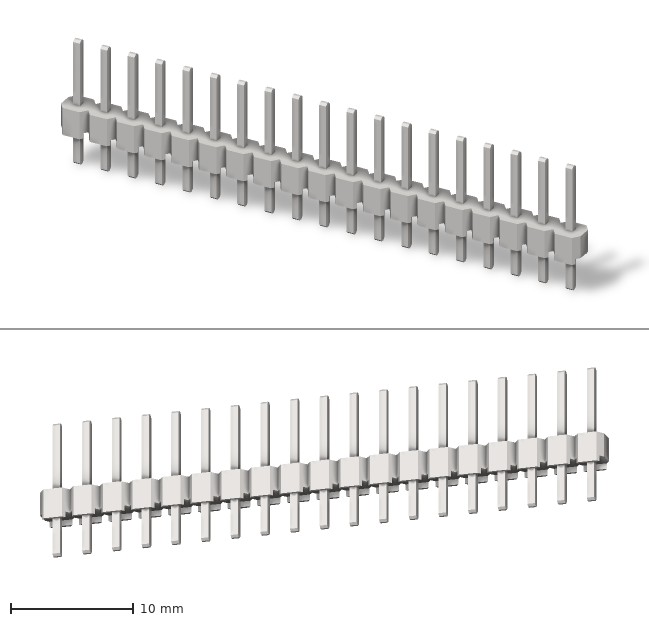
import cadquery as cq

pin_count = 19
row_length = 48.25
pitch = row_length / pin_count

body_depth = 2.5
body_height = 2.5
corner_x = 0.5
corner_y = 0.65
channel_width = 2.0
channel_height = 0.5

pin_length = 11.5
pin_width = pitch / 4
pin_below_body = 3.0
tip_inset = 0.2
tip_height = 0.2

pin_bottom = -pin_length / 2
pin_top = pin_length / 2
body_bottom = pin_bottom + pin_below_body


def position_x(index):
    """X of one pin centre, with the row centred on the origin."""
    return (index - (pin_count - 1) / 2) * pitch


def make_body():
    """Row of eight-sided cells joined at their narrow ends, with a channel along the underside."""
    end_half_depth = body_depth / 2 - corner_y
    half_cell = pitch / 2
    half_flat = half_cell - corner_x

    front_edge = [(-row_length / 2, -end_half_depth)]
    for index in range(pin_count):
        x = position_x(index)
        front_edge.append((x - half_flat, -body_depth / 2))
        front_edge.append((x + half_flat, -body_depth / 2))
        front_edge.append((x + half_cell, -end_half_depth))
    back_edge = [(x, -y) for x, y in reversed(front_edge)]

    body = (
        cq.Workplane("XY", origin=(0, 0, body_bottom))
        .polyline(front_edge + back_edge)
        .close()
        .extrude(body_height)
    )
    channel = cq.Workplane("XY", origin=(0, 0, body_bottom)).box(
        row_length, channel_width, channel_height, centered=(True, True, False)
    )
    return body.cut(channel)


def make_pin(x):
    """Square pin whose two ends are bevelled on the front and back faces only."""
    half_width = pin_width / 2
    half_tip = half_width - tip_inset
    profile = [
        (-half_tip, pin_bottom),
        (half_tip, pin_bottom),
        (half_width, pin_bottom + tip_height),
        (half_width, pin_top - tip_height),
        (half_tip, pin_top),
        (-half_tip, pin_top),
        (-half_width, pin_top - tip_height),
        (-half_width, pin_bottom + tip_height),
    ]
    return (
        cq.Workplane("YZ", origin=(x, 0, 0))
        .polyline(profile)
        .close()
        .extrude(half_width, both=True)
    )


result = make_body()
for pin_index in range(pin_count):
    result = result.union(make_pin(position_x(pin_index)))